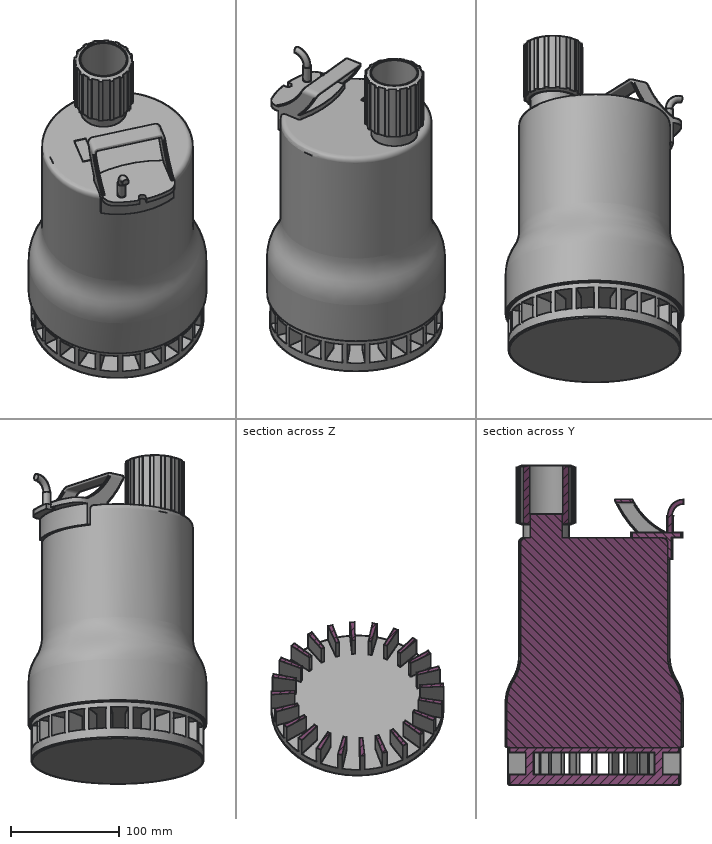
import cadquery as cq
import math

basket_radius = 80.0
basket_height = 35.0
basket_edge_chamfer = 1.2
window_count = 24
window_bottom = 10.0
window_top = 30.0
window_inner_radius = 58.0
rib_angle = 3.3

base_radius = 82.5
base_edge_chamfer = 1.0
shoulder_bottom = 75.5
shoulder_top = 119.0
body_radius = 70.0
body_top = 229.0
body_top_fillet = 5.0

outlet_x = -44.6
neck_radius = 21.3
neck_insertion = 10.0
connector_bottom = 241.0
connector_top = 296.0
connector_bore_radius = neck_radius
connector_land_radius = 22.4
connector_radius = 26.0
connector_rib_count = 16
connector_rib_width = 3.6
connector_rib_radius = 27.4
connector_cone_height = 2.0

bracket_half_width = 35.0
plate_thickness = 5.0
plate_top = body_top + plate_thickness
plate_radius = 82.0
plate_front_middle_x = 33.5
plate_front_side_x = 39.2
plate_front_fillet = 2.0
plate_rear_fillet = 12.0
notch_width = 6.6
notch_depth = 6.4
pad_radius = 73.0
pad_height = 20.0
handle_top = 264.7
handle_grip_front_x = 18.6
handle_grip_rear_x = 35.2
handle_foot_rear_x = 66.2
handle_front_curve = (27.3, 248.8)
handle_rear_curve = (50.1, 244.9)
handle_wall = 3.0
handle_bend_radius = 5.0
handle_rim_fillet = 1.0

cable_x = 70.2
cable_y = -17.3
cable_radius = 3.2
cable_end_x = 82.84
cable_bend_radius = cable_end_x - cable_x
cable_bend_start = 249.7
sleeve_radius = 3.9
sleeve_top = 249.4

nameplate_x = 0.1
nameplate_y = -32.1
nameplate_length = 28.0
nameplate_width = 11.2
nameplate_thickness = 0.8


def cylinder(radius, bottom, top, x=0.0, y=0.0):
    return cq.Workplane("XY", origin=(x, y, bottom)).circle(radius).extrude(top - bottom)


def box_around(x_min, x_max, z_min):
    """Selects what is centred in this stretch of X, above z_min, anywhere across the bracket."""
    corner = (x_min, -base_radius, z_min)
    return cq.selectors.BoxSelector(corner, (x_max, base_radius, connector_top))


def make_basket():
    body = cylinder(basket_radius, 0, basket_height).faces("<Z").edges().chamfer(basket_edge_chamfer)
    half_angle = math.radians(360.0 / window_count - rib_angle) / 2
    outer = basket_radius + basket_edge_chamfer
    cos_half = math.cos(half_angle)
    sin_half = math.sin(half_angle)
    window = (
        cq.Workplane("XY", origin=(0, 0, window_bottom))
        .moveTo(window_inner_radius * cos_half, -window_inner_radius * sin_half)
        .lineTo(outer * cos_half, -outer * sin_half)
        .threePointArc((outer, 0), (outer * cos_half, outer * sin_half))
        .lineTo(window_inner_radius * cos_half, window_inner_radius * sin_half)
        .threePointArc(
            (window_inner_radius, 0),
            (window_inner_radius * cos_half, -window_inner_radius * sin_half),
        )
        .close()
        .extrude(window_top - window_bottom)
    )
    body = body.cut(cylinder(window_inner_radius, window_bottom, window_top))
    for index in range(window_count):
        angle = (index + 0.5) * 360.0 / window_count
        body = body.cut(window.rotate((0, 0, 0), (0, 0, 1), angle))
    return body


def make_housing():
    middle_radius = (base_radius + body_radius) / 2
    middle_height = (shoulder_bottom + shoulder_top) / 2
    body = (
        cq.Workplane("XZ")
        .moveTo(0, basket_height)
        .lineTo(base_radius - base_edge_chamfer, basket_height)
        .lineTo(base_radius, basket_height + base_edge_chamfer)
        .lineTo(base_radius, shoulder_bottom)
        .tangentArcPoint((middle_radius, middle_height), relative=False)
        .tangentArcPoint((body_radius, shoulder_top), relative=False)
        .lineTo(body_radius, body_top)
        .lineTo(0, body_top)
        .close()
        .revolve(360, (0, 0, 0), (0, 1, 0))
    )
    body = body.faces(">Z").edges().fillet(body_top_fillet)
    neck_top = connector_bottom + neck_insertion
    return body.union(cylinder(neck_radius, body_top - body_top_fillet, neck_top, outlet_x))


def make_connector():
    barrel = cylinder(connector_radius, connector_bottom, connector_top)
    for index in range(connector_rib_count):
        rib = (
            cq.Workplane("XY", origin=(0, 0, connector_bottom))
            .center(connector_rib_radius / 2, 0)
            .rect(connector_rib_radius, connector_rib_width)
            .extrude(connector_top - connector_bottom)
        )
        barrel = barrel.union(rib.rotate((0, 0, 0), (0, 0, 1), index * 360.0 / connector_rib_count))
    envelope = (
        cq.Workplane("XZ")
        .moveTo(connector_bore_radius, connector_bottom)
        .lineTo(connector_land_radius, connector_bottom)
        .lineTo(connector_rib_radius, connector_bottom + connector_cone_height)
        .lineTo(connector_rib_radius, connector_top - connector_cone_height)
        .lineTo(connector_land_radius, connector_top)
        .lineTo(connector_bore_radius, connector_top)
        .close()
        .revolve(360, (0, 0, 0), (0, 1, 0))
    )
    return barrel.intersect(envelope).translate((outlet_x, 0, 0))


def make_handle():
    depth = 2 * bracket_half_width
    outline = (
        cq.Workplane("XZ", origin=(0, bracket_half_width, 0))
        .moveTo(handle_grip_front_x, handle_top)
        .threePointArc(handle_front_curve, (plate_front_side_x, plate_top))
        .lineTo(handle_foot_rear_x, plate_top)
        .threePointArc(handle_rear_curve, (handle_grip_rear_x, handle_top))
        .close()
        .extrude(depth)
    )
    height = handle_top - body_top
    start = cq.Workplane("YZ").center(0, body_top + height / 2)
    outer = start.rect(depth, height).extrude(plate_radius).edges("|X and >Z").fillet(handle_bend_radius)
    inner = (
        start.center(0, -handle_wall)
        .rect(depth - 2 * handle_wall, height)
        .extrude(plate_radius)
        .edges("|X and >Z")
        .fillet(handle_bend_radius - handle_wall)
    )
    handle = outline.intersect(outer.cut(inner))
    above_feet = box_around(0, plate_radius, plate_top + handle_rim_fillet)
    return handle.edges("not(|X)").edges(above_feet).fillet(handle_rim_fillet)


def make_plate():
    rear_x = math.sqrt(plate_radius**2 - bracket_half_width**2)
    plate = (
        cq.Workplane("XY", origin=(0, 0, body_top))
        .moveTo(plate_front_side_x, -bracket_half_width)
        .lineTo(rear_x, -bracket_half_width)
        .threePointArc((plate_radius, 0), (rear_x, bracket_half_width))
        .lineTo(plate_front_side_x, bracket_half_width)
        .threePointArc((plate_front_middle_x, 0), (plate_front_side_x, -bracket_half_width))
        .close()
        .extrude(plate_thickness)
    )
    middle_x = (plate_front_side_x + rear_x) / 2
    front = box_around(0, middle_x, body_top)
    rear = box_around(middle_x, plate_radius, body_top)
    plate = plate.edges("|Z").edges(front).fillet(plate_front_fillet)
    plate = plate.edges("|Z").edges(rear).fillet(plate_rear_fillet)
    notch_radius = notch_width / 2
    notch_centre = plate_radius - notch_depth + notch_radius
    notch = cylinder(notch_radius, body_top, plate_top, notch_centre).union(
        cq.Workplane("XY", origin=(notch_centre, -notch_radius, body_top))
        .rect(notch_depth, notch_width, centered=False)
        .extrude(plate_thickness)
    )
    return plate.cut(notch)


def make_bracket(housing):
    pad = cylinder(pad_radius, body_top - pad_height, body_top)
    strip = (
        cq.Workplane("XY", origin=(plate_front_side_x, -bracket_half_width, body_top - pad_height))
        .rect(pad_radius, 2 * bracket_half_width, centered=False)
        .extrude(pad_height)
    )
    pad = pad.intersect(strip).cut(housing)
    return make_plate().union(make_handle()).union(pad)


def make_cable():
    path = (
        cq.Workplane("XZ", origin=(cable_x, cable_y, 0))
        .moveTo(0, plate_top)
        .lineTo(0, cable_bend_start)
        .radiusArc((cable_bend_radius, cable_bend_start + cable_bend_radius), cable_bend_radius)
    )
    return cq.Workplane("XY", origin=(cable_x, cable_y, plate_top)).circle(cable_radius).sweep(path)


def make_sleeve():
    sleeve = cylinder(sleeve_radius, plate_top, sleeve_top, cable_x, cable_y)
    return sleeve.cut(cylinder(cable_radius, plate_top, sleeve_top, cable_x, cable_y))


def make_nameplate():
    return (
        cq.Workplane("XY", origin=(nameplate_x, nameplate_y, body_top))
        .rect(nameplate_length, nameplate_width)
        .extrude(nameplate_thickness)
    )


basket = make_basket()
housing = make_housing()
connector = make_connector()
bracket = make_bracket(housing)
cable = make_cable()
sleeve = make_sleeve()
nameplate = make_nameplate()

bodies = [basket, housing, connector, bracket, cable, sleeve, nameplate]
result = cq.Compound.makeCompound([body.solids().val() for body in bodies])